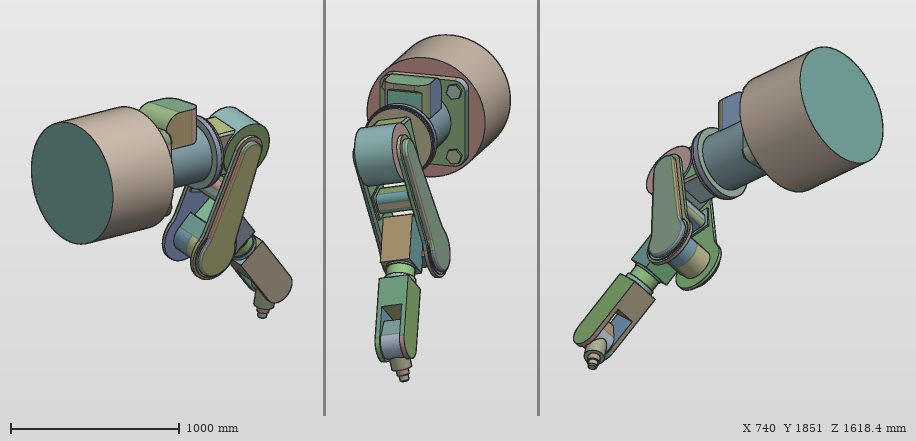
import cadquery as cq
import math

base_turn = 12.7

pedestal_radius = 370.0
pedestal_height = 481.0
flange_size = 533.0
flange_corner_radius = 68.0
flange_top = 550.0
bolt_spacing = 404.0
bolt_head_diameter = 96.0
bolt_head_height = 22.0
bolt_head_turn = 12.0
column_radius = 178.0
column_top = 950.0
disc_radius = 222.0
disc_top = 989.0

housing_width = 281.0
housing_back = 616.0
housing_front = 900.0
housing_top = 325.0
housing_front_radius = 75.0
housing_back_radius = 115.0
housing_recess = 13.0
housing_lip_height = 35.0

shoulder_disc_radius = 215.0
shoulder_disc_top = 1013.0
shoulder_disc_chamfer = 5.0
shoulder_y = 1274.0
shoulder_barrel_radius = 175.0
barrel_width = 240.0
block_width = 215.0
block_height = 295.0
block_chamfer = 13.9

arm_length = 668.0
arm_lean = 12.7
arm_taper = 3.4
arm_shoulder_radius = 102.0
arm_elbow_radius = 168.0
arm_neck_radius = 157.0
plate_thickness = 22.0
pad_inset = 25.0
pad_elbow_radius = 137.0
elbow_cap_radius = 152.0
elbow_cap_thickness = 7.0
pad_thickness = 31.0
pad_edge_radius = 11.0
crossbar_start = 240.0
crossbar_end = 360.0
crossbar_depth = 155.0
crossbar_upper_radius = 43.0
crossbar_lower_radius = 30.0
crossbar_foot_thickness = 11.0
crossbar_foot_margin = 20.0

forearm_dip = 47.0
forearm_offset = 193.0
forearm_height = 196.0
forearm_width = 187.0
elbow_radius = 98.0
elbow_barrel_reach = 107.0
elbow_barrel_back = 111.0
elbow_block_end = 202.0
neck_radius = 85.0
neck_root_radius = 90.0
neck_root_length = 13.0

ring_start = 272.0
ring_radius = 95.0
ring_chamfer = 10.0
forearm_start = 310.0
fork_slot_start = 502.0
fork_slot_width = 128.0
wrist_y = 1753.0

knuckle_radius = 85.0
knuckle_corner_back = 55.0
knuckle_corner_rise = 133.0
tool_y = 1738.0
tool_sections = [(61.0, -1195.0), (37.0, -1235.0), (28.0, -1275.0)]
tool_tip_chamfer = 7.0

lean = math.radians(arm_lean)
elbow_y = shoulder_y - arm_length * math.sin(lean)
elbow_z = -arm_length * math.cos(lean)
arm_frame = cq.Plane(
    origin=(0, shoulder_y, 0), xDir=(0, -math.sin(lean), -math.cos(lean)), normal=(1, 0, 0)
)

dip = math.radians(forearm_dip)
forearm_direction = (0, math.cos(dip), -math.sin(dip))
elbow_frame = cq.Plane(origin=(0, elbow_y, elbow_z), xDir=forearm_direction, normal=(1, 0, 0))
wrist_reach = (wrist_y - elbow_y - forearm_offset * math.sin(dip)) / math.cos(dip)
wrist_z = elbow_z + forearm_offset * math.cos(dip) - wrist_reach * math.sin(dip)


def y_cylinder(radius, start, end):
    """Cylinder around the Y axis from start to end."""
    return cq.Workplane("XZ", origin=(0, start, 0)).circle(radius).extrude(start - end)


def forearm_cylinder(radius, start, end):
    """Cylinder around the forearm axis, with start and end counted from the elbow axis."""
    origin = elbow_frame.toWorldCoords((start, forearm_offset, 0))
    frame = cq.Plane(origin=origin, xDir=(1, 0, 0), normal=forearm_direction)
    return cq.Workplane(frame).circle(radius).extrude(end - start)


def forearm_box(start, end, bottom, top, width):
    """Box in the elbow frame, centred across the robot."""
    middle = ((start + end) / 2, (bottom + top) / 2)
    box = cq.Workplane(elbow_frame).center(*middle).rect(end - start, top - bottom)
    return box.extrude(width / 2, both=True)


def connector_housing():
    """Rounded housing on top of the column, its front face set back below a lip."""
    length = housing_front - housing_back
    recess_back = housing_front - housing_recess
    lip_bottom = housing_top - housing_lip_height
    housing = (
        cq.Workplane("XY", origin=(0, (housing_back + housing_front) / 2, 0))
        .rect(housing_width, length)
        .extrude(housing_top)
    )
    housing = housing.edges("|Z and >Y").fillet(housing_front_radius)
    housing = housing.faces("<Y").edges(">Z").fillet(housing_back_radius)
    recess = (
        cq.Workplane("YZ")
        .moveTo(housing_front, 0)
        .lineTo(recess_back, 0)
        .lineTo(recess_back, lip_bottom - housing_recess)
        .lineTo(housing_front, lip_bottom)
        .close()
        .extrude(housing_width / 2, both=True)
    )
    return housing.cut(recess)


def make_base():
    base = y_cylinder(pedestal_radius, 0, pedestal_height)
    flange = (
        cq.Workplane("XZ", origin=(0, pedestal_height, 0))
        .rect(flange_size, flange_size)
        .extrude(pedestal_height - flange_top)
        .edges("|Y").fillet(flange_corner_radius)
    )
    bolt_head = (
        cq.Workplane("XZ")
        .polygon(6, bolt_head_diameter)
        .extrude(-bolt_head_height)
        .rotate((0, 0, 0), (0, 1, 0), bolt_head_turn)
    )
    base = base.union(flange)
    for x_side in (-1, 1):
        for z_side in (-1, 1):
            place = (x_side * bolt_spacing / 2, flange_top, z_side * bolt_spacing / 2)
            base = base.union(bolt_head.translate(place))
    base = base.union(y_cylinder(column_radius, flange_top, column_top))
    base = base.union(y_cylinder(disc_radius, column_top, disc_top))
    return base.union(connector_housing())


def make_shoulder():
    disc = y_cylinder(shoulder_disc_radius, disc_top, shoulder_disc_top)
    disc = disc.faces(">Y").chamfer(shoulder_disc_chamfer)
    block = (
        cq.Workplane("XZ", origin=(0, shoulder_disc_top, 0))
        .rect(block_width, block_height)
        .extrude(shoulder_disc_top - shoulder_y)
        .edges("|Y").chamfer(block_chamfer)
    )
    barrel = (
        cq.Workplane("YZ", origin=(0, shoulder_y, 0))
        .circle(shoulder_barrel_radius)
        .extrude(barrel_width / 2, both=True)
    )
    return disc.union(block).union(barrel)


def arm_outline(inset, elbow_end_radius, start):
    """Closed arm outline on the plane at X = start, its sides moved inwards by inset.

    Each straight side leaves the shoulder end at the taper angle and runs through
    a concave arc into the round elbow end.
    """
    shoulder_radius = arm_shoulder_radius - inset
    neck = arm_neck_radius + inset
    taper = math.radians(arm_taper)
    along = (math.cos(taper), math.sin(taper))
    across = (-math.sin(taper), math.cos(taper))

    def side_point(distance, height):
        return (
            distance * along[0] + height * across[0],
            distance * along[1] + height * across[1],
        )

    neck_height = shoulder_radius + neck
    height_to_elbow = neck_height + arm_length * math.sin(taper)
    neck_distance = arm_length * math.cos(taper) - math.sqrt(
        (elbow_end_radius + neck) ** 2 - height_to_elbow**2
    )
    neck_centre = side_point(neck_distance, neck_height)
    side_start = side_point(0, shoulder_radius)
    side_end = side_point(neck_distance, shoulder_radius)
    share = elbow_end_radius / (elbow_end_radius + neck)
    elbow_start = (arm_length + (neck_centre[0] - arm_length) * share, neck_centre[1] * share)

    chord_middle = ((side_end[0] + elbow_start[0]) / 2, (side_end[1] + elbow_start[1]) / 2)
    to_chord = (chord_middle[0] - neck_centre[0], chord_middle[1] - neck_centre[1])
    stretch = neck / math.hypot(*to_chord)
    neck_middle = (neck_centre[0] + to_chord[0] * stretch, neck_centre[1] + to_chord[1] * stretch)

    def mirrored(point):
        return (point[0], -point[1])

    return (
        cq.Workplane(arm_frame)
        .workplane(offset=start)
        .moveTo(*side_start)
        .lineTo(*side_end)
        .threePointArc(neck_middle, elbow_start)
        .threePointArc((arm_length + elbow_end_radius, 0), mirrored(elbow_start))
        .threePointArc(mirrored(neck_middle), mirrored(side_end))
        .lineTo(*mirrored(side_start))
        .threePointArc((-shoulder_radius, 0), side_start)
        .close()
    )


def arm_plate():
    """Side plate on the +X side with a low round cap at the elbow and a raised, round-edged pad."""
    pad_start = barrel_width / 2 + plate_thickness
    plate = arm_outline(0, arm_elbow_radius, barrel_width / 2).extrude(plate_thickness)
    pad = arm_outline(pad_inset, pad_elbow_radius, pad_start).extrude(pad_thickness)
    pad = pad.faces(">X").edges().fillet(pad_edge_radius)
    cap = (
        cq.Workplane(elbow_frame)
        .workplane(offset=pad_start)
        .circle(elbow_cap_radius)
        .extrude(elbow_cap_thickness)
    )
    return plate.union(cap).union(pad)


def crossbar():
    """Rounded bar between the plates with a wider rectangular foot against each plate."""
    length = crossbar_end - crossbar_start
    middle = (crossbar_start + crossbar_end) / 2
    upper_edges = cq.selectors.CenterNthSelector(arm_frame.xDir, 0)
    lower_edges = cq.selectors.CenterNthSelector(arm_frame.xDir, -1)
    bar = (
        cq.Workplane(arm_frame)
        .center(middle, 0)
        .rect(length, crossbar_depth)
        .extrude(barrel_width / 2, both=True)
    )
    bar = bar.edges("|X").edges(upper_edges).fillet(crossbar_upper_radius)
    bar = bar.edges("|X").edges(lower_edges).fillet(crossbar_lower_radius)
    foot = (
        cq.Workplane(arm_frame)
        .center(middle, 0)
        .workplane(offset=barrel_width / 2)
        .rect(length + 2 * crossbar_foot_margin, crossbar_depth + 2 * crossbar_foot_margin)
        .extrude(-crossbar_foot_thickness)
    )
    return bar.union(foot).union(foot.mirror("YZ"))


def make_arm():
    plate = arm_plate()
    return plate.union(plate.mirror("YZ")).union(crossbar())


def elbow_end():
    """Barrel between the arm plates, with the offset block and the neck in front of it."""
    barrel = cq.Workplane(elbow_frame).circle(elbow_radius).extrude(barrel_width / 2, both=True)
    barrel_side = (
        cq.Workplane(elbow_frame)
        .polyline([
            (-elbow_radius, 0),
            (elbow_radius, 0),
            (elbow_radius, elbow_barrel_reach),
            (-elbow_barrel_back, elbow_barrel_reach),
        ])
        .close()
        .extrude(barrel_width / 2, both=True)
    )
    bottom = forearm_offset - forearm_height / 2
    top = bottom + forearm_height
    block = forearm_box(-elbow_radius, elbow_block_end, bottom, top, forearm_width)
    neck_root = forearm_cylinder(neck_root_radius, elbow_block_end, elbow_block_end + neck_root_length)
    neck = forearm_cylinder(neck_radius, elbow_block_end, ring_start)
    return barrel.union(barrel_side).union(block).union(neck_root).union(neck)


def make_forearm():
    bottom = forearm_offset - forearm_height / 2
    top = bottom + forearm_height
    body = forearm_box(forearm_start, wrist_reach, bottom, top, forearm_width)
    round_end = (
        cq.Workplane(elbow_frame)
        .center(wrist_reach, forearm_offset)
        .circle(forearm_height / 2)
        .extrude(forearm_width / 2, both=True)
    )
    slot = forearm_box(fork_slot_start, wrist_reach + forearm_height, bottom, top, fork_slot_width)
    ring_edge = ring_start + ring_chamfer
    ring = forearm_cylinder(ring_radius, ring_edge, forearm_start)
    ring_nose = forearm_cylinder(ring_radius - ring_chamfer, ring_start, ring_edge)
    return body.union(round_end).cut(slot).union(ring).union(ring_nose).union(elbow_end())


def knuckle():
    """Round knuckle whose two flats run tangentially from the barrel to one corner."""
    corner_distance = math.hypot(knuckle_corner_back, knuckle_corner_rise)
    corner_angle = math.atan2(knuckle_corner_rise, -knuckle_corner_back)
    half_angle = math.acos(knuckle_radius / corner_distance)

    def rim_point(angle):
        return (
            wrist_y + knuckle_radius * math.cos(angle),
            wrist_z + knuckle_radius * math.sin(angle),
        )

    return (
        cq.Workplane("YZ")
        .moveTo(wrist_y - knuckle_corner_back, wrist_z + knuckle_corner_rise)
        .lineTo(*rim_point(corner_angle + half_angle))
        .threePointArc(rim_point(corner_angle + math.pi), rim_point(corner_angle - half_angle))
        .close()
        .extrude(fork_slot_width / 2, both=True)
    )


def make_wrist():
    wrist = knuckle()
    section_top = wrist_z
    for radius, section_bottom in tool_sections:
        section = (
            cq.Workplane("XY", origin=(0, tool_y, section_top))
            .circle(radius)
            .extrude(section_bottom - section_top)
        )
        wrist = wrist.union(section)
        section_top = section_bottom
    return wrist.faces("<Z").chamfer(tool_tip_chamfer)


def turned(body):
    """Turn a body about the Y axis of the base."""
    return body.rotate((0, 0, 0), (0, 1, 0), base_turn)


base = make_base()
shoulder = turned(make_shoulder())
arm = turned(make_arm())
forearm = turned(make_forearm())
wrist = turned(make_wrist())

result = cq.Compound.makeCompound([
    base.val(),
    shoulder.val(),
    arm.val(),
    forearm.val(),
    wrist.val(),
])